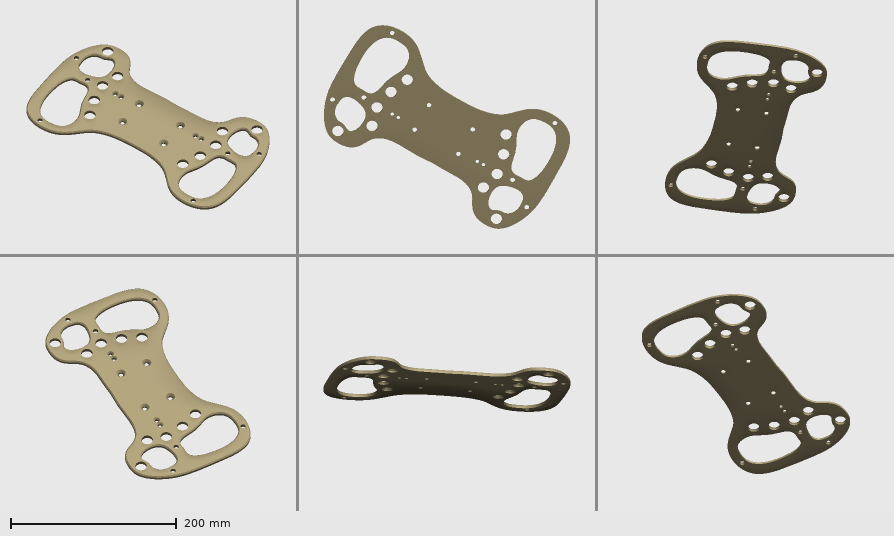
import cadquery as cq

THICKNESS = 4.5
EDGE_CHAMFER = 1.5
HALF_LENGTH = 146.0
TOP_EDGE_Y = 44.5
BOTTOM_EDGE_Y = -39.7

BUTTON_DIAMETER = 13.7
GRIP_SCREW_DIAMETER = 6.0
HUB_HOLE_DIAMETER = 5.5
HUB_SINK_DIAMETER = 11.5
PADDLE_HOLE_DIAMETER = 4.5
PADDLE_SINK_DIAMETER = 8.2
SINK_ANGLE = 90

BUTTON_CENTRES = [(-110.0, 66.5), (-77.3, 40.5), (-83.5, 17.8), (-78.2, -7.3), (-68.5, -30.0)]
GRIP_SCREW_CENTRES = [(-134.8, 36.0), (-103.3, 15.0), (-113.0, -71.5)]
HUB_CENTRES = [(-30.3, 19.0), (-30.3, -16.0)]
PADDLE_CENTRES = [(-63.3, 15.8), (-54.8, 15.8)]

UPPER_HORN = [
    (-26.3, TOP_EDGE_Y), (-45.0, 44.5), (-60.5, 48.0), (-69.7, 55.0), (-76.1, 66.0), (-84.3, 74.7),
    (-101.8, 79.0), (-117.0, 76.1), (-128.5, 66.5), (-140.0, 45.5), (-143.8, 32.0),
]
SIDE = [(-145.5, 16.0), (-HALF_LENGTH, -5.8), (-145.5, -26.3)]
LOWER_HORN = [
    (-142.7, -53.0), (-137.7, -64.8), (-129.0, -73.2), (-117.5, -78.0),
    (-104.7, -79.5), (-93.5, -78.2), (-84.3, -75.3), (-75.5, -70.0),
]
WAIST = [(-64.5, -59.8), (-53.7, -50.2), (-39.5, -43.8), (-25.0, -40.8)]
LEFT_RIM = UPPER_HORN + SIDE + LOWER_HORN + WAIST

UPPER_OPENING = [
    (-127.0, 36.8), (-125.7, 45.5), (-120.8, 52.5), (-115.2, 55.0), (-108.5, 55.7), (-98.3, 59.5),
    (-92.8, 55.5), (-89.5, 47.8), (-89.3, 36.8), (-91.5, 31.0), (-97.7, 26.0), (-106.5, 23.0),
    (-114.0, 22.2), (-122.0, 24.2), (-126.0, 29.8),
]
LOWER_OPENING = [
    (-101.0, 7.3), (-94.8, 3.2), (-92.2, -3.2), (-89.3, -16.0), (-84.3, -28.0), (-79.5, -38.5),
    (-78.5, -46.7), (-81.0, -56.5), (-87.8, -63.5), (-97.7, -66.2), (-108.2, -66.2),
    (-116.5, -63.3), (-123.5, -56.0), (-127.8, -45.5), (-129.8, -24.8), (-128.0, -8.2),
    (-124.5, 1.2), (-120.2, 6.0), (-115.2, 7.3), (-108.5, 7.3),
]


def mirrored(points):
    """Reflect points about X = 0."""
    return [(-x, y) for x, y in points]


def both_sides(points):
    return points + mirrored(points)


def smooth_plate(points):
    """Extrude a smooth closed curve through the points."""
    return cq.Workplane("XY").spline(points, periodic=True).close().extrude(THICKNESS)


def plate():
    right_rim = mirrored(reversed(LEFT_RIM))
    return smooth_plate([(0, TOP_EDGE_Y)] + LEFT_RIM + [(0, BOTTOM_EDGE_Y)] + right_rim)


def grip_openings():
    left = smooth_plate(UPPER_OPENING).union(smooth_plate(LOWER_OPENING))
    return left.union(left.mirror("YZ"))


def drill(body, centres, diameter):
    return body.faces(">Z").workplane(origin=(0, 0, 0)).pushPoints(both_sides(centres)).hole(diameter)


def countersink(body, centres, diameter, sink_diameter):
    top = body.faces(">Z").workplane(origin=(0, 0, 0))
    return top.pushPoints(both_sides(centres)).cskHole(diameter, sink_diameter, SINK_ANGLE)


result = plate().cut(grip_openings()).faces(">Z").edges().chamfer(EDGE_CHAMFER)
result = drill(result, BUTTON_CENTRES, BUTTON_DIAMETER)
result = drill(result, GRIP_SCREW_CENTRES, GRIP_SCREW_DIAMETER)
result = countersink(result, HUB_CENTRES, HUB_HOLE_DIAMETER, HUB_SINK_DIAMETER)
result = countersink(result, PADDLE_CENTRES, PADDLE_HOLE_DIAMETER, PADDLE_SINK_DIAMETER)